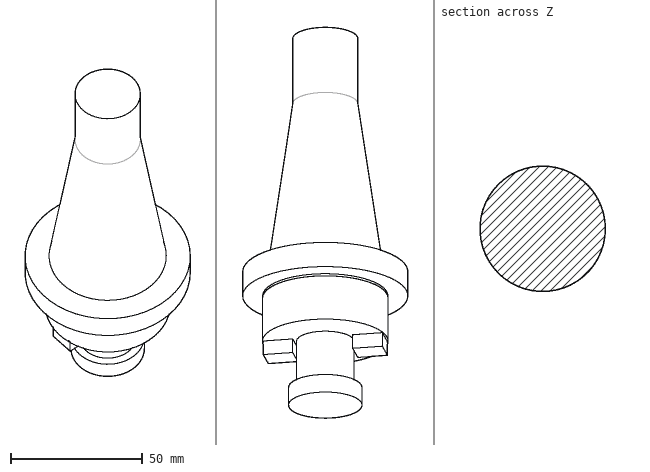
import cadquery as cq

head_diameter = 28.1
pilot_diameter = 22.0
collar_diameter = 48.0
relief_diameter = 47.8
flange_diameter = 63.0
taper_base_diameter = 44.7
shank_diameter = 25.0

head_top = 7.2
collar_bottom = 26.0
collar_top = 43.6
flange_bottom = 44.5
flange_top = 54.4
taper_top = 122.8
overall_length = 149.4

key_width = 10.0
key_drop = 5.5
key_inner_offset = 11.7
key_outer_offset = 23.2


def cylinder(diameter, bottom, top):
    """Cylinder on the Z axis between two heights."""
    return cq.Workplane("XY").workplane(offset=bottom).circle(diameter / 2).extrude(top - bottom)


def drive_key(side):
    """Rectangular key on the +Y (side = 1) or -Y (side = -1) half of the collar face."""
    key_length = key_outer_offset - key_inner_offset
    key_center = side * (key_inner_offset + key_outer_offset) / 2
    return (
        cq.Workplane("XY")
        .workplane(offset=collar_bottom)
        .center(0, key_center)
        .rect(key_width, key_length)
        .extrude(-key_drop)
    )


body = cylinder(head_diameter, 0, head_top)
body = body.union(cylinder(pilot_diameter, head_top, collar_bottom))
body = body.union(cylinder(collar_diameter, collar_bottom, collar_top))
body = body.union(cylinder(relief_diameter, collar_top, flange_bottom))
body = body.union(cylinder(flange_diameter, flange_bottom, flange_top))

taper = (
    cq.Workplane("XY")
    .workplane(offset=flange_top)
    .circle(taper_base_diameter / 2)
    .workplane(offset=taper_top - flange_top)
    .circle(shank_diameter / 2)
    .loft(ruled=True)
)
body = body.union(taper)
body = body.union(cylinder(shank_diameter, taper_top, overall_length))

for side in (-1, 1):
    body = body.union(drive_key(side))

result = body